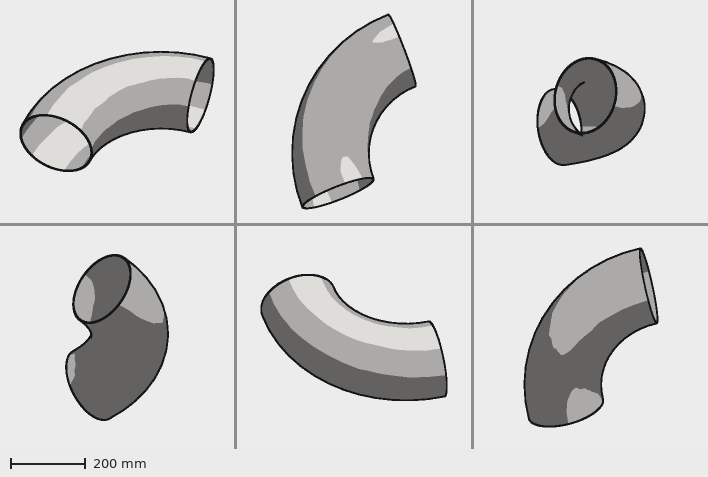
import cadquery as cq

outer_reach = 403.0
pipe_diameter = 206.0
wall_thickness = 3.0
bend_angle = 90.0

outer_radius = pipe_diameter / 2
inner_radius = outer_radius - wall_thickness
bend_radius = outer_reach - outer_radius

pipe_section = (
    cq.Workplane("XZ")
    .center(-bend_radius, 0)
    .circle(outer_radius)
    .circle(inner_radius)
)

bend_axis_start = (bend_radius, 0)
bend_axis_end = (bend_radius, -1)
result = pipe_section.revolve(bend_angle, bend_axis_start, bend_axis_end)